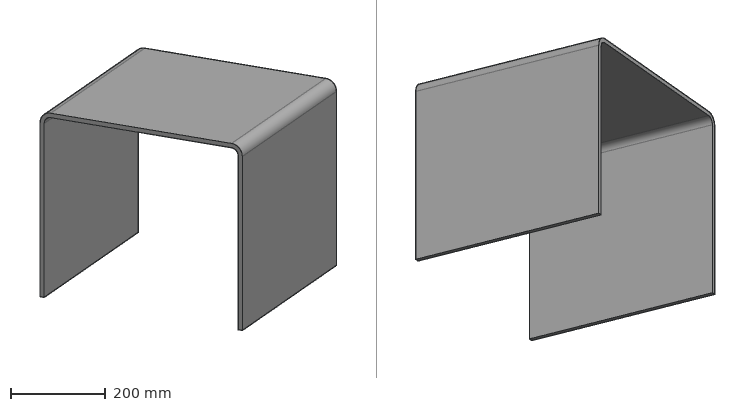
import cadquery as cq

width = 475.0
depth = 450.0
height = 415.0

thickness = 10.0
inner_bend_radius = 15.0
outer_bend_radius = inner_bend_radius + thickness


def rounded_block(block_width, block_height, bend_radius):
    """Block standing on Z = 0 and centred in X and Y, with its two top edges along Y rounded."""
    block = cq.Workplane("XY").box(block_width, depth, block_height, centered=(True, True, False))
    return block.edges("|Y and >Z").fillet(bend_radius)


outer_block = rounded_block(width, height, outer_bend_radius)
inner_block = rounded_block(width - 2 * thickness, height - thickness, inner_bend_radius)

result = outer_block.cut(inner_block)